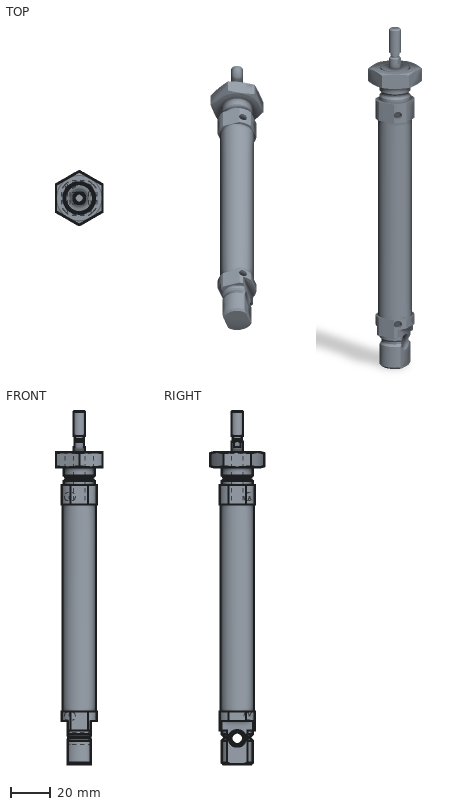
import cadquery as cq
import math

THREAD_D = 16.0
RELIEF_D = 13.7
TUBE_D = 17.3
CAP_D = 20.0
CAP_ACROSS_FLATS = 18.0

REAR_CHAMFER = 1.0
REAR_RELIEF_BOTTOM = 12.1
REAR_RELIEF_TOP = 15.5
REAR_CAP_BOTTOM = 17.4
REAR_CAP_TOP = 27.2
TANG_THICKNESS = 12.0
TANG_TOP = 22.1
PIVOT_D = 6.0
PIVOT_CHAMFER = 1.2
PIVOT_Z = 13.3

FRONT_CAP_BOTTOM = 133.0
FRONT_CAP_TOP = 143.1
FRONT_RELIEF_BOTTOM = 145.0
FRONT_RELIEF_TOP = 148.0

NUT_ACROSS_FLATS = 24.0
NUT_BOTTOM = 152.0
NUT_TOP = 160.0
NUT_FACE_D = 23.2
NUT_CHAMFER_ANGLE = 17.0
NUT_BORE_D = 14.38
NUT_COUNTERSINK_D = THREAD_D
NUT_COUNTERSINK_DEPTH = (NUT_COUNTERSINK_D - NUT_BORE_D) / 2
NOSE_TOP = NUT_TOP

PORT_D = 4.13
PORT_DEPTH = 4.0
PORT_ANGLE = 127.5
REAR_PORT_Z = 24.7
FRONT_PORT_Z = 137.1

ROD_D = 6.0
ROD_BOTTOM = 133.0
ROD_TOP = 181.0
ROD_THREAD_BOTTOM = 168.2
ROD_NECK_D = 4.8
ROD_CHAMFER = (ROD_D - ROD_NECK_D) / 2
ROD_NECK_BOTTOM = 166.6
ROD_GROOVE_D = 3.8
ROD_GROOVE_BOTTOM = 165.7
WRENCH_ACROSS_FLATS = 5.0
WRENCH_BOTTOM = 162.4


def cylinder(diameter, bottom, top):
    return cq.Workplane("XY").workplane(offset=bottom).circle(diameter / 2).extrude(top - bottom)


def turned(profile):
    """Revolve (radius, z) points about the Z axis; both ends close on the axis."""
    points = [(0, profile[0][1])] + profile + [(0, profile[-1][1])]
    return cq.Workplane("XZ").polyline(points).close().revolve(360, (0, 0, 0), (0, 1, 0))


def end_cap(bottom, top):
    height = top - bottom
    square = (
        cq.Workplane("XY").workplane(offset=bottom)
        .rect(CAP_ACROSS_FLATS, CAP_ACROSS_FLATS).extrude(height)
    )
    return cylinder(CAP_D, bottom, top).intersect(square)


def threaded_core():
    thread_r = THREAD_D / 2
    relief_r = RELIEF_D / 2
    relief_slope = thread_r - relief_r
    nose_r = NUT_BORE_D / 2
    return turned([
        (thread_r - REAR_CHAMFER, 0),
        (thread_r, REAR_CHAMFER),
        (thread_r, REAR_RELIEF_BOTTOM),
        (relief_r, REAR_RELIEF_BOTTOM + relief_slope),
        (relief_r, REAR_RELIEF_TOP - relief_slope),
        (thread_r, REAR_RELIEF_TOP),
        (thread_r, FRONT_RELIEF_BOTTOM),
        (relief_r, FRONT_RELIEF_BOTTOM + relief_slope),
        (relief_r, FRONT_RELIEF_TOP - relief_slope),
        (thread_r, FRONT_RELIEF_TOP),
        (thread_r, NUT_BOTTOM),
        (nose_r, NUT_BOTTOM),
        (nose_r, NOSE_TOP),
    ])


def tang_side_cuts():
    """Two blocks that leave a flat tang below the rear cap."""
    block_width = CAP_D
    offset = (TANG_THICKNESS + block_width) / 2
    return (
        cq.Workplane("XY").pushPoints([(-offset, 0), (offset, 0)])
        .rect(block_width, CAP_D).extrude(TANG_TOP)
    )


def pivot_hole():
    """Hole along X through the tang, chamfered at both mouths."""
    half = TANG_THICKNESS / 2
    inner = half - PIVOT_CHAMFER
    hole_r = PIVOT_D / 2
    mouth_r = hole_r + PIVOT_CHAMFER
    return (
        turned([(mouth_r, -half), (hole_r, -inner), (hole_r, inner), (mouth_r, half)])
        .rotate((0, 0, 0), (0, 1, 0), 90)
        .translate((0, 0, PIVOT_Z))
    )


def port(z):
    """Blind radial hole through a round corner of an end cap."""
    return (
        cq.Workplane("YZ").workplane(offset=CAP_D / 2 - PORT_DEPTH)
        .circle(PORT_D / 2).extrude(PORT_DEPTH)
        .rotate((0, 0, 0), (0, 0, 1), PORT_ANGLE)
        .translate((0, 0, z))
    )


def make_housing():
    housing = (
        threaded_core()
        .union(cylinder(TUBE_D, REAR_CAP_TOP, FRONT_CAP_BOTTOM))
        .union(end_cap(REAR_CAP_BOTTOM, REAR_CAP_TOP))
        .union(end_cap(FRONT_CAP_BOTTOM, FRONT_CAP_TOP))
        .cut(tang_side_cuts())
        .cut(pivot_hole())
    )
    for port_z in (REAR_PORT_Z, FRONT_PORT_Z):
        housing = housing.cut(port(port_z))
    return housing.cut(cylinder(ROD_D, ROD_BOTTOM, NOSE_TOP))


def make_rod():
    rod_r = ROD_D / 2
    neck_r = ROD_NECK_D / 2
    groove_r = ROD_GROOVE_D / 2
    rod = turned([
        (rod_r, ROD_BOTTOM),
        (rod_r, ROD_GROOVE_BOTTOM - ROD_CHAMFER),
        (neck_r, ROD_GROOVE_BOTTOM),
        (groove_r, ROD_GROOVE_BOTTOM),
        (groove_r, ROD_NECK_BOTTOM),
        (neck_r, ROD_NECK_BOTTOM),
        (neck_r, ROD_THREAD_BOTTOM),
        (rod_r, ROD_THREAD_BOTTOM),
        (rod_r, ROD_TOP - ROD_CHAMFER),
        (rod_r - ROD_CHAMFER, ROD_TOP),
    ])
    offset = (WRENCH_ACROSS_FLATS + ROD_D) / 2
    wrench_flats = (
        cq.Workplane("XY").workplane(offset=WRENCH_BOTTOM)
        .pushPoints([(-offset, 0), (offset, 0)])
        .rect(ROD_D, ROD_D).extrude(ROD_GROOVE_BOTTOM - WRENCH_BOTTOM)
    )
    return rod.cut(wrench_flats)


def make_nut():
    across_corners = NUT_ACROSS_FLATS / math.cos(math.radians(30))
    hexagon = (
        cq.Workplane("XY").workplane(offset=NUT_BOTTOM)
        .polygon(6, across_corners).extrude(NUT_TOP - NUT_BOTTOM)
        .rotate((0, 0, 0), (0, 0, 1), 30)
    )
    face_r = NUT_FACE_D / 2
    corner_r = across_corners / 2
    drop = (corner_r - face_r) * math.tan(math.radians(NUT_CHAMFER_ANGLE))
    envelope = turned([
        (face_r, NUT_BOTTOM),
        (corner_r, NUT_BOTTOM + drop),
        (corner_r, NUT_TOP - drop),
        (face_r, NUT_TOP),
    ])
    bore_r = NUT_BORE_D / 2
    bore = turned([
        (bore_r, NUT_BOTTOM),
        (bore_r, NUT_TOP - NUT_COUNTERSINK_DEPTH),
        (NUT_COUNTERSINK_D / 2, NUT_TOP),
    ])
    return hexagon.intersect(envelope).cut(bore)


housing = make_housing()
rod = make_rod()
nut = make_nut()

result = cq.Compound.makeCompound([housing.val(), rod.val(), nut.val()])